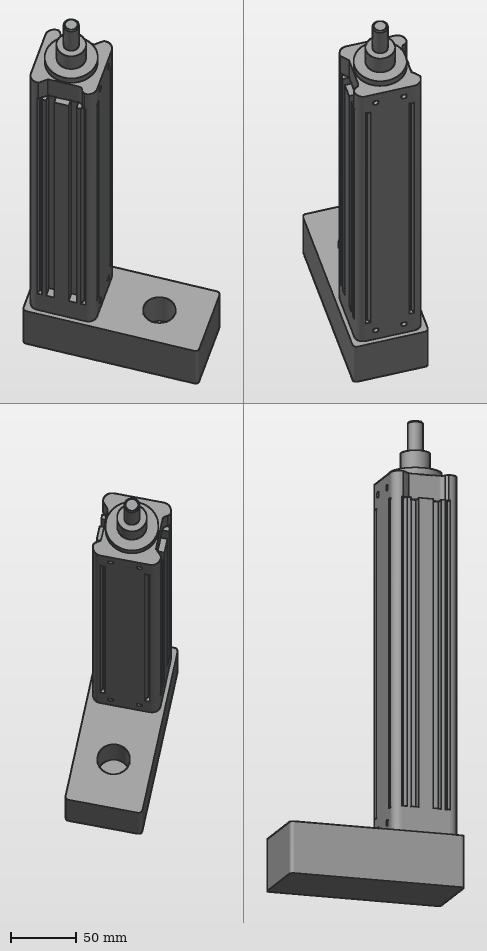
import cadquery as cq
import math

base_length = 140.0
base_width = 60.0
base_height = 41.0
base_corner_radius = 3.0

well_diameter = 25.0
well_depth = 29.8
well_x = 100.2

column_side = 53.0
column_top = 326.0
column_corner_radius = 7.0
column_x = base_width / 2
axis_y = base_width / 2
half_side = column_side / 2
flat_half_width = half_side - column_corner_radius

overall_height = 372.5
flange_diameter = 40.5
flange_top = 331.5
collar_diameter = 22.7
collar_top = 347.5
rod_diameter = 12.0
rod_chamfer = 1.0

slot_bottom = 61.5
slot_top = 306.0
edge_groove_width = 4.0
edge_groove_depth = 3.7
edge_groove_floor_outer = 18.3
edge_groove_floor_inner = 17.0
middle_slot_width = 6.5
middle_slot_depth = 7.5
middle_slot_offset = 9.0

recess_depth = 5.2
recess_half_mouth = 18.3
recess_half_neck = 16.0
recess_neck_depth = 2.0
recess_half_floor = 12.3

screw_hole_diameter = 4.5
screw_hole_depth = 5.5
drill_point_angle = 118
screw_hole_offset = 11.0
screw_hole_end_distance = 10.0

FRONT, RIGHT, BACK, LEFT = 0, 90, 180, 270


def on_column_face(shape, face_angle):
    """Turn a cutter made for the front face to another face and move it to the column."""
    return shape.rotate((0, 0, 0), (0, 0, 1), face_angle).translate((column_x, axis_y, 0))


def disc(diameter, bottom, top):
    """Cylinder on the column axis."""
    profile = cq.Workplane("XY", origin=(column_x, axis_y, bottom)).circle(diameter / 2)
    return profile.extrude(top - bottom)


def slot(offset, width, depth):
    """Lengthwise slot cutter in the front face, at an offset from its middle."""
    profile = cq.Workplane("XY", origin=(offset, -half_side, slot_bottom)).rect(width, 2 * depth)
    return profile.extrude(slot_top - slot_bottom)


def edge_groove():
    """Groove cutter with sloping walls and a narrow floor, along the right edge of the flat front face."""
    return (
        cq.Workplane("XY", origin=(0, -half_side, slot_bottom))
        .moveTo(flat_half_width, 0)
        .lineTo(edge_groove_floor_outer, edge_groove_depth)
        .lineTo(edge_groove_floor_inner, edge_groove_depth)
        .lineTo(flat_half_width - edge_groove_width, 0)
        .close()
        .extrude(slot_top - slot_bottom)
    )


def recess():
    """Recess cutter with flared sides and rounded inner corners, open at the column top."""
    floor_y = -half_side + recess_depth
    neck_y = -half_side + recess_neck_depth
    return (
        cq.Workplane("XY", origin=(0, 0, slot_top))
        .moveTo(-recess_half_mouth, -half_side)
        .lineTo(-recess_half_neck, neck_y)
        .tangentArcPoint((-recess_half_floor, floor_y), relative=False)
        .lineTo(recess_half_floor, floor_y)
        .tangentArcPoint((recess_half_neck, neck_y), relative=False)
        .lineTo(recess_half_mouth, -half_side)
        .close()
        .extrude(column_top - slot_top)
    )


def screw_hole(offset, height):
    """Blind screw hole cutter in the front face, ending in a drill point."""
    radius = screw_hole_diameter / 2
    tip_length = radius / math.tan(math.radians(drill_point_angle / 2))
    half_profile = (
        cq.Workplane("XY")
        .lineTo(radius, 0)
        .lineTo(radius, screw_hole_depth)
        .lineTo(0, screw_hole_depth + tip_length)
        .close()
    )
    return half_profile.revolve(360, (0, 0, 0), (0, 1, 0)).translate((offset, -half_side, height))


def make_base():
    block = cq.Workplane("XY").box(base_length, base_width, base_height, centered=False)
    block = block.edges("|Z").fillet(base_corner_radius)
    well = cq.Workplane("XY", origin=(well_x, axis_y, base_height - well_depth))
    return block.cut(well.circle(well_diameter / 2).extrude(well_depth))


def make_column():
    column = (
        cq.Workplane("XY", origin=(column_x, axis_y, base_height))
        .rect(column_side, column_side)
        .extrude(column_top - base_height)
        .edges("|Z")
        .fillet(column_corner_radius)
    )
    for side in (-1, 1):
        for face in (FRONT, RIGHT, BACK, LEFT):
            groove = edge_groove() if side > 0 else edge_groove().mirror("YZ")
            column = column.cut(on_column_face(groove, face))
        for face in (FRONT, BACK):
            middle_slot = slot(side * middle_slot_offset, middle_slot_width, middle_slot_depth)
            column = column.cut(on_column_face(middle_slot, face))
        for face in (RIGHT, LEFT):
            for height in (base_height + screw_hole_end_distance, column_top - screw_hole_end_distance):
                hole = screw_hole(side * screw_hole_offset, height)
                column = column.cut(on_column_face(hole, face))
    for face in (FRONT, BACK):
        column = column.cut(on_column_face(recess(), face))
    return column


def make_nose():
    flange = disc(flange_diameter, column_top, flange_top)
    collar = disc(collar_diameter, flange_top, collar_top)
    rod = disc(rod_diameter, collar_top, overall_height).faces(">Z").chamfer(rod_chamfer)
    return flange.union(collar).union(rod)


result = make_base().union(make_column()).union(make_nose())